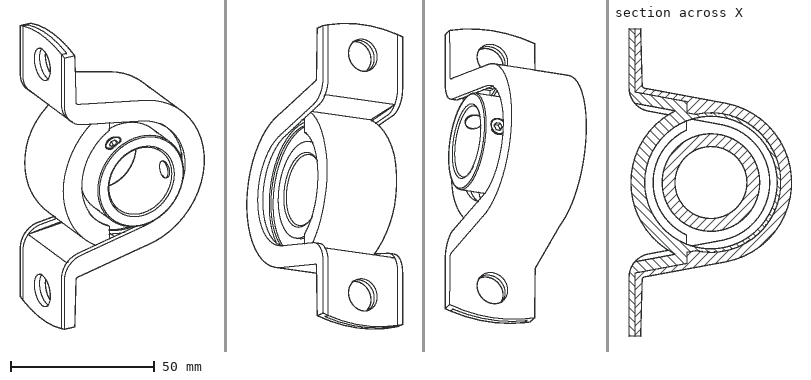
import cadquery as cq
import math

STRAP_R = 28.1
FLANGE_R = 20.4
SHEET = 2.0
BOW_SEAT_R = 24.2
WEB_LIFT = 1.8
BOW_WIDTH = 28.1
FOOT_WIDTH = 32.0
BACK_Y = -28.5
WIDEN_FROM_Y = 4.2
WIDEN_TO_Y = -22.5
ARM_ANGLE = math.radians(10.5)
BACK_BEND_R = 8.3
FOOT_ROOT_Z = 30.2
FOOT_ROOT_THICK = 4.8
FOOT_TIP_THICK = 4.1
FOOT_ROOT_FILLET = 0.9
FOOT_TIP_R = 54.0
HOLE_D = 11.5
HOLE_Z = 43.0

CUSHION_R = 27.9
CUSHION_BOW_WIDTH = 14.5
FRONT_START_Y = -8.4
FRONT_FULL_Y = -26.4
FRONT_ROOT_WIDTH = 23.8
LIP_R = 20.1
LIP_BACK_X = 11.1

BEARING_D = 46.0
OUTER_RING_WIDTH = 12.7
INNER_RING_D = 34.0
INNER_RING_FROM_X = -7.8
INNER_RING_TO_X = 19.5
BORE_D = 25.0
BORE_CHAMFER = 0.6
COLLAR_CHAMFER = 0.4
SCREW_D = 6.0
SCREW_MOUTH_D = 5.5
SCREW_X = 14.4
SCREW_TIP_R = 11.8
SCREW_TOP_R = 16.5
SOCKET_FLATS = 2.6
SOCKET_DEPTH = 1.9
SCREW_ANGLES = (0, 120)

REACH = 86.4
PICK_SIZE = 0.5


def disc(diameter, x_from, x_to):
    """Cylinder on the bearing axis."""
    return cq.Workplane("YZ").workplane(offset=x_from).circle(diameter / 2).extrude(x_to - x_from)


def arm_z(bow_radius, y):
    """Height of the straight arm line tangent to a bow of the given radius."""
    return bow_radius / math.cos(ARM_ANGLE) - y * math.tan(ARM_ANGLE)


def bow_region(bow_radius, lift=0):
    """Everything inside a bow and its two arm lines, as far as the mounting face.

    A lift widens the space between the arms but not the bow.
    """
    start_y = bow_radius * math.sin(ARM_ANGLE)
    start_z = bow_radius * math.cos(ARM_ANGLE)
    bow = (
        cq.Workplane("YZ")
        .moveTo(start_y, -start_z)
        .threePointArc((bow_radius, 0), (start_y, start_z))
        .close()
        .extrude(REACH, both=True)
    )
    upper = [(start_y, start_z + lift), (BACK_Y, arm_z(bow_radius, BACK_Y) + lift)]
    lower = [(y, -z) for y, z in reversed(upper)]
    arms = cq.Workplane("YZ").polyline(upper + lower).close().extrude(REACH, both=True)
    return bow.union(arms)


def plan_prism(bow_half, taper_from_y, foot_half, taper_to_y):
    """Full-height prism whose half width grows from the bow towards the feet."""
    right = [(bow_half, REACH), (bow_half, taper_from_y), (foot_half, taper_to_y), (foot_half, -REACH)]
    left = [(-x, y) for x, y in reversed(right)]
    return cq.Workplane("XY").polyline(right + left).close().extrude(REACH, both=True)


def round_corner(solid, y, z, radius):
    """Fillet the X edges at a profile corner, above and below the bearing axis."""
    for side in (1, -1):
        low = (-REACH, y - PICK_SIZE, side * z - PICK_SIZE)
        high = (REACH, y + PICK_SIZE, side * z + PICK_SIZE)
        solid = solid.edges(cq.selectors.BoxSelector(low, high)).fillet(radius)
    return solid


def foot_slab(front_root_y, front_tip_y, root_z):
    """Plate across both feet from the mounting face to a front face that may lean."""
    points = [(BACK_Y, root_z), (BACK_Y, REACH), (front_tip_y, REACH), (front_tip_y, FOOT_TIP_R)]
    points.append((front_root_y, root_z))
    upper = cq.Workplane("YZ").polyline(points).close().extrude(REACH, both=True)
    return upper.union(upper.mirror("XY"))


def tip_cylinder():
    """Cylinder square to the mounting face that rounds the tips of both feet."""
    return cq.Workplane("XZ").circle(FOOT_TIP_R).extrude(REACH, both=True)


def bolt_holes():
    """Drills for the mounting bolts."""
    return (
        cq.Workplane("XZ")
        .pushPoints([(0, HOLE_Z), (0, -HOLE_Z)])
        .circle(HOLE_D / 2)
        .extrude(REACH, both=True)
    )


def channel():
    """Space between the flanges: a round seat in the bow and flat webs along the arms."""
    seat = disc(2 * BOW_SEAT_R, -REACH, REACH)
    between_arms = bow_region(FLANGE_R, WEB_LIFT)
    plan = plan_prism(BOW_WIDTH / 2 - SHEET, WIDEN_FROM_Y, FOOT_WIDTH / 2 - SHEET, WIDEN_TO_Y)
    return seat.union(between_arms).intersect(plan)


def cushion_front():
    """Tapered space that bounds the wide front part of the cushion."""
    plan = plan_prism(FRONT_ROOT_WIDTH / 2, FRONT_START_Y, FOOT_WIDTH / 2 - SHEET, FRONT_FULL_Y)
    behind = cq.Workplane("XY").box(2 * REACH, REACH, 2 * REACH)
    return plan.cut(behind.translate((0, FRONT_START_Y + REACH / 2, 0)))


def cushion_pads():
    """Pads flush with the webs of the arms and with the mounting face."""
    feet = foot_slab(BACK_Y + SHEET, BACK_Y + SHEET, FOOT_ROOT_Z)
    pads = bow_region(STRAP_R - SHEET).union(feet).intersect(cushion_front()).cut(bow_region(FLANGE_R))
    pads = round_corner(pads, BACK_Y, arm_z(FLANGE_R, BACK_Y), BACK_BEND_R)
    return pads.cut(bow_region(FLANGE_R, WEB_LIFT)).intersect(tip_cylinder())


def make_strap():
    root_y = BACK_Y + FOOT_ROOT_THICK
    feet = foot_slab(root_y, BACK_Y + FOOT_TIP_THICK, FOOT_ROOT_Z)
    outline = bow_region(STRAP_R).union(feet).cut(bow_region(FLANGE_R))
    outline = round_corner(outline, BACK_Y, arm_z(FLANGE_R, BACK_Y), BACK_BEND_R)
    outline = round_corner(outline, root_y, arm_z(STRAP_R, root_y), FOOT_ROOT_FILLET)
    plan = plan_prism(BOW_WIDTH / 2, WIDEN_FROM_Y, FOOT_WIDTH / 2, WIDEN_TO_Y)
    strap = outline.intersect(plan).intersect(tip_cylinder())
    return strap.cut(channel()).cut(cushion_pads()).cut(bolt_holes())


def make_cushion():
    ring = disc(2 * CUSHION_R, -CUSHION_BOW_WIDTH / 2, CUSHION_BOW_WIDTH / 2)
    front = disc(2 * CUSHION_R, -REACH, REACH).intersect(cushion_front())
    seat = disc(BEARING_D, -LIP_BACK_X, LIP_BACK_X)
    lip_opening = disc(2 * LIP_R, -REACH, REACH)
    body = ring.union(front).intersect(channel()).union(cushion_pads())
    return body.cut(seat).cut(lip_opening).cut(bolt_holes())


def screw_axis(angle, start_radius):
    """Workplane square to a set screw, at a distance from the bearing axis."""
    turn = math.radians(angle)
    outward = (0, math.cos(turn), math.sin(turn))
    origin = (SCREW_X, start_radius * outward[1], start_radius * outward[2])
    return cq.Workplane(cq.Plane(origin=origin, xDir=(1, 0, 0), normal=outward))


def make_set_screw(angle):
    screw = screw_axis(angle, SCREW_TIP_R).circle(SCREW_D / 2).extrude(SCREW_TOP_R - SCREW_TIP_R)
    socket_d = SOCKET_FLATS / math.cos(math.pi / 6)
    socket = screw_axis(angle, SCREW_TOP_R).polygon(6, socket_d).extrude(-SOCKET_DEPTH)
    return screw.cut(socket)


def make_bearing():
    inner_ring = disc(INNER_RING_D, INNER_RING_FROM_X, INNER_RING_TO_X)
    inner_ring = inner_ring.faces(">X").edges().chamfer(COLLAR_CHAMFER)
    inner_ring = inner_ring.cut(disc(BORE_D, -REACH, REACH))
    inner_ring = inner_ring.edges(cq.selectors.RadiusNthSelector(0)).chamfer(BORE_CHAMFER)

    outer_ring = disc(BEARING_D, -OUTER_RING_WIDTH / 2, OUTER_RING_WIDTH / 2)
    outer_ring = outer_ring.cut(disc(INNER_RING_D, -REACH, REACH))
    bearing = inner_ring.union(outer_ring)
    for angle in SCREW_ANGLES:
        thread = screw_axis(angle, 0).circle(SCREW_D / 2).extrude(SCREW_TOP_R)
        mouth = screw_axis(angle, 0).circle(SCREW_MOUTH_D / 2).extrude(INNER_RING_D)
        bearing = bearing.cut(thread).cut(mouth)
    return bearing


strap = make_strap()
cushion = make_cushion()
bearing = make_bearing()
set_screws = [make_set_screw(angle) for angle in SCREW_ANGLES]

result = cq.Compound.makeCompound(
    [strap.val(), cushion.val(), bearing.val(), *[screw.val() for screw in set_screws]]
)